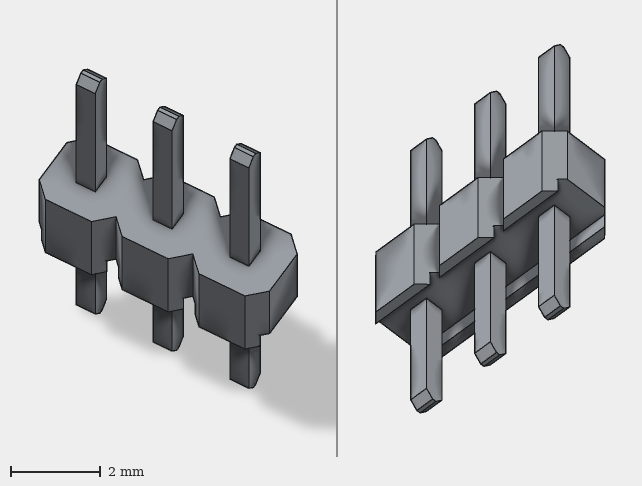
import cadquery as cq

total_height = 8.7
pin_count = 3
pitch = 2.0

housing_height = 2.0
corner_chamfer = 0.4
pin_above_housing = 3.9

foot_height = 0.4
foot_thickness = 0.25
foot_inset = 0.15

pin_width = 0.5
tip_height = 0.2
tip_flat = 0.105

top_z = total_height / 2
bottom_z = -total_height / 2
housing_top_z = top_z - pin_above_housing
housing_bottom_z = housing_top_z - housing_height
foot_top_z = housing_bottom_z + foot_height
body_height = housing_height - foot_height
foot_length = pitch - 2 * foot_inset
cell_centers = [(i - (pin_count - 1) / 2) * pitch for i in range(pin_count)]


def make_cell(x):
    """Octagonal housing cell whose lower end is reduced to two feet."""
    cell = (
        cq.Workplane("XY", origin=(x, 0, housing_bottom_z))
        .rect(pitch, pitch)
        .extrude(housing_height)
        .edges("|Z")
        .chamfer(corner_chamfer)
    )
    upper_body = cq.Workplane("XY", origin=(x, 0, foot_top_z)).rect(pitch, pitch).extrude(body_height)
    foot_offset = (pitch - foot_thickness) / 2
    feet = (
        cq.Workplane("XY", origin=(x, 0, housing_bottom_z))
        .pushPoints([(0, -foot_offset), (0, foot_offset)])
        .rect(foot_length, foot_thickness)
        .extrude(foot_height)
    )
    return cell.intersect(upper_body.union(feet))


def make_pin(x):
    """Square pin with both ends tapered in Y to a narrow flat."""
    half_width = pin_width / 2
    half_flat = tip_flat / 2
    profile = [
        (-half_width, bottom_z + tip_height),
        (-half_flat, bottom_z),
        (half_flat, bottom_z),
        (half_width, bottom_z + tip_height),
        (half_width, top_z - tip_height),
        (half_flat, top_z),
        (-half_flat, top_z),
        (-half_width, top_z - tip_height),
    ]
    return cq.Workplane("YZ", origin=(x, 0, 0)).polyline(profile).close().extrude(half_width, both=True)


result = cq.Workplane("XY")
for center_x in cell_centers:
    result = result.union(make_cell(center_x)).union(make_pin(center_x))